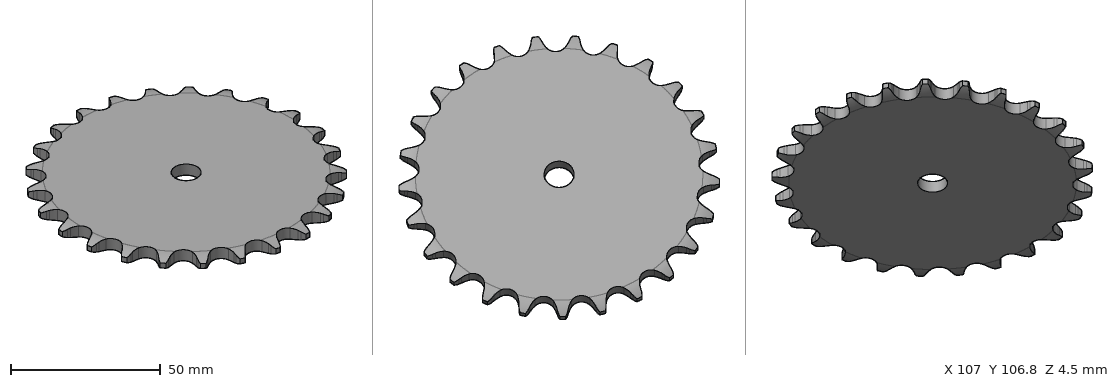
import cadquery as cq
import math


tooth_count = 25
pitch_diameter = 101.3
roller_diameter = 7.7
roller_clearance = 0.039
outside_diameter = 107.1
thickness = 4.5
bore_diameter = 10.0
flat_face_radius = 47.9
side_curve_radius = 13.4

pitch_radius = pitch_diameter / 2
outside_radius = outside_diameter / 2
seat_angle = math.radians(35 + 60 / tooth_count)
working_angle = math.radians(18 - 56 / tooth_count)
topping_angle = math.radians(17 - 64 / tooth_count)
seat_radius = 0.5025 * roller_diameter + roller_clearance
working_offset = 0.8 * roller_diameter
working_radius = seat_radius + working_offset
flank_length = roller_diameter * (1.4 * math.sin(topping_angle) - 0.8 * math.sin(working_angle))
topping_radius = (
    roller_diameter * (0.8 * math.cos(working_angle) + 1.4 * math.cos(topping_angle) - 1.3025)
    - roller_clearance
)

cut_margin = 0.5


def polar(center, radius, angle):
    """Point at a radius and an angle (counter-clockwise from +X) around a center."""
    return (center[0] + radius * math.cos(angle), center[1] + radius * math.sin(angle))


def mirrored(point):
    return (-point[0], point[1])


def make_gap_cutter():
    """Prism of one tooth gap, symmetric about +Y: seat, working curves, flanks, topping curves."""
    flank_angle = seat_angle - working_angle
    seat_center = (0, pitch_radius)
    working_center = polar(seat_center, working_offset, math.pi - seat_angle)

    seat_bottom = (0, pitch_radius - seat_radius)
    seat_end = polar(seat_center, seat_radius, -seat_angle)
    working_mid = polar(working_center, working_radius, -(seat_angle + flank_angle) / 2)
    working_end = polar(working_center, working_radius, -flank_angle)
    flank_end = polar(working_end, flank_length, math.pi / 2 - flank_angle)

    topping_center = polar(flank_end, topping_radius, -flank_angle)
    topping_top = outside_radius + cut_margin
    topping_end_angle = math.pi - math.asin((topping_top - topping_center[1]) / topping_radius)
    topping_mid_angle = (math.pi - flank_angle + topping_end_angle) / 2
    topping_mid = polar(topping_center, topping_radius, topping_mid_angle)
    topping_end = polar(topping_center, topping_radius, topping_end_angle)

    return (
        cq.Workplane("XY", origin=(0, 0, -thickness / 2))
        .moveTo(*mirrored(seat_end))
        .threePointArc(seat_bottom, seat_end)
        .threePointArc(working_mid, working_end)
        .lineTo(*flank_end)
        .threePointArc(topping_mid, topping_end)
        .lineTo(*mirrored(topping_end))
        .threePointArc(mirrored(topping_mid), mirrored(flank_end))
        .lineTo(*mirrored(working_end))
        .threePointArc(mirrored(working_mid), mirrored(seat_end))
        .close()
        .extrude(thickness)
    )


def make_blank():
    """Ring-shaped disc whose rim narrows along a curve tangent to each side face."""
    half_thickness = thickness / 2
    bore_radius = bore_diameter / 2
    rim_width = outside_radius - flat_face_radius
    curve_center = (flat_face_radius, half_thickness - side_curve_radius)
    rim_angle = math.acos(rim_width / side_curve_radius)
    rim_top = polar(curve_center, side_curve_radius, rim_angle)
    curve_mid = polar(curve_center, side_curve_radius, (rim_angle + math.pi / 2) / 2)

    return (
        cq.Workplane("XZ")
        .moveTo(bore_radius, half_thickness)
        .lineTo(flat_face_radius, half_thickness)
        .threePointArc(curve_mid, rim_top)
        .lineTo(rim_top[0], -rim_top[1])
        .threePointArc((curve_mid[0], -curve_mid[1]), (flat_face_radius, -half_thickness))
        .lineTo(bore_radius, -half_thickness)
        .close()
        .revolve(360, (0, 0, 0), (0, 1, 0))
    )


gap_cutter = make_gap_cutter()
result = make_blank()
for index in range(tooth_count):
    turn = index * 360 / tooth_count
    result = result.cut(gap_cutter.rotate((0, 0, 0), (0, 0, 1), turn))